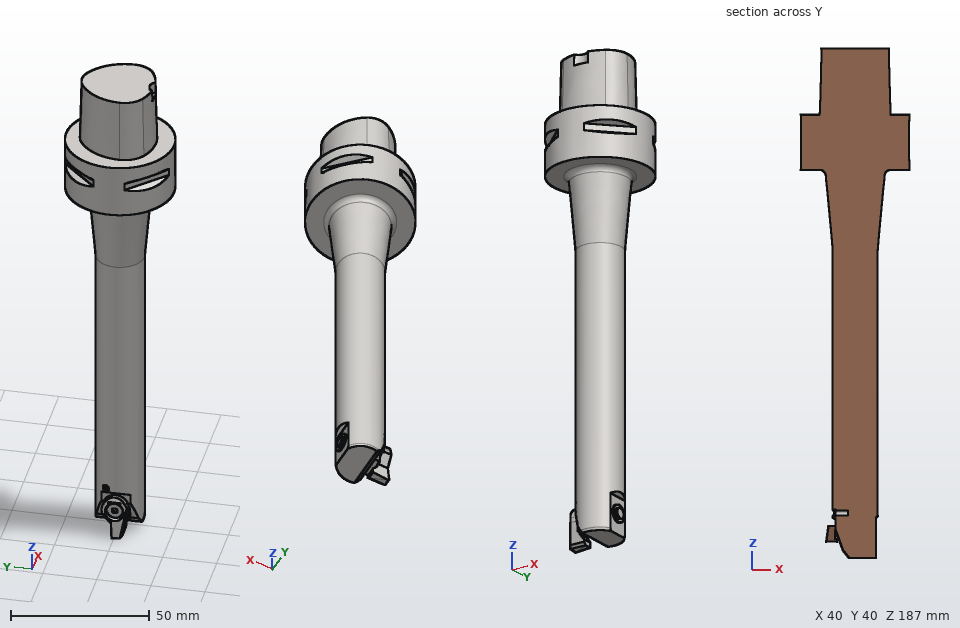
import cadquery as cq
import math


FLANGE_DIAMETER = 40.0
FLANGE_HEIGHT = 20.0
SHANK_LENGTH = 24.0
SHANK_WIDTH = 28.0
LOBE_COUNT = 3
LOBE_PITCH = 360 / LOBE_COUNT
LOBE_START = 90
LOBE_CENTER_RADIUS = 5.5
SHANK_TAPER = 1 / 40
KEY_SLOT_RADIUS = 3.5
KEY_SLOT_DEPTH = 4.3
KEY_SLOT_BACK = 10.8

GRIP_COUNT = 4
GRIP_START = 45
GRIP_CENTER_Z = -8.0
GRIP_FLOOR_DISTANCE = 17.5
GRIP_FLOOR_HEIGHT = 2.6
GRIP_MOUTH_HEIGHT = 5.2

BAR_DIAMETER = 18.0
BAR_BOTTOM_Z = -160.3
CONE_TOP_DIAMETER = 22.6
CONE_TOP_Z = -22.5
CONE_BOTTOM_Z = -49.0
CONE_FILLET_WIDTH = 1.9
END_CHAMFER = 1.1
END_CHAMFER_WIDTH = 0.28

SEAT_X = -7.2
SEAT_TOP_Z = -146.2
LEDGE_RISE = 1.1
RELIEF_START_Z = -150.0
RELIEF_BEND_X = -4.5
RELIEF_BEND_Z = -157.5
RELIEF_END_X = -2.2
SUPPORT_X = -6.5
SUPPORT_Y_MIN = -4.9
SUPPORT_Y_MAX = 2.8
BACK_FLAT_X = 7.57
BACK_FLAT_TOP_Z = -145.7
BOSS_DIAMETER = 6.7
BOSS_HEIGHT = 0.5
COOLANT_DIAMETER = 2.5
COOLANT_CORE_DIAMETER = 1.55
COOLANT_MOUTH_DEPTH = 1.1
COOLANT_DEPTH = 5.6
COOLANT_Y = 3.5
COOLANT_Z = -144.0

SCREW_Z = -152.2
SCREW_DIAMETER = 4.1
SCREW_END_X = 8.8
HEAD_DIAMETER = 6.0
HEAD_FACE_X = -9.5
HEAD_THICKNESS = 1.5
SOCKET_DIAMETER = 2.0
SOCKET_DEPTH = 1.1

INSERT_DIAMETER = 9.4
INSERT_CENTER_Z = -151.7
INSERT_TOP_FACE_X = -9.0
FACE_TOP_X = -9.7
FACE_TOP_Z = -148.7
LEG_TOP_Z = -153.3
LEG_NECK_Z = -156.9
LEG_BOTTOM_Z = -161.4
LEG_LEFT_Y = 1.1
LEG_RIGHT_Y = -3.2
LEG_BEVEL = 0.65
FOOT_TOP_Z = -158.0
FOOT_INNER_Z = -160.5
EDGE_Z = -162.5
EDGE_LEFT_Y = 0.7
EDGE_RIGHT_Y = -2.2
EDGE_OUTER_X = -11.6
EDGE_INNER_X = -4.9
TIP_X = -11.2
TIP_Z = -163.0
RECESS_SLOPE = 0.6
RIDGE_X = -10.3
RIDGE_WIDTH = 4.5
RIDGE_HEIGHT = 0.4


def three_lobed_outline(inset, z):
    """Constant-width outline of three lobes and three flatter arcs, shrunk by `inset`."""
    side = LOBE_CENTER_RADIUS * math.sqrt(3)
    lobe_radius = (SHANK_WIDTH - side) / 2 - inset
    flat_radius = lobe_radius + side

    def arc_point(lobe, radius, angle):
        lobe_angle = math.radians(LOBE_START + LOBE_PITCH * lobe)
        direction = math.radians(angle)
        return (
            LOBE_CENTER_RADIUS * math.cos(lobe_angle) + radius * math.cos(direction),
            LOBE_CENTER_RADIUS * math.sin(lobe_angle) + radius * math.sin(direction),
        )

    outline = cq.Workplane("XY", origin=(0, 0, z)).moveTo(
        *arc_point(0, lobe_radius, LOBE_START - LOBE_PITCH / 4)
    )
    for lobe in range(LOBE_COUNT):
        middle = LOBE_START + LOBE_PITCH * lobe
        outline = outline.threePointArc(
            arc_point(lobe, lobe_radius, middle), arc_point(lobe, lobe_radius, middle + LOBE_PITCH / 4)
        )
        opposite = lobe + 2
        outline = outline.threePointArc(
            arc_point(opposite, flat_radius, middle + LOBE_PITCH / 2),
            arc_point(opposite, flat_radius, middle + LOBE_PITCH * 3 / 4),
        )
    return outline.close().wires().val()


def make_shank():
    base = three_lobed_outline(0, 0)
    top = three_lobed_outline(SHANK_LENGTH * SHANK_TAPER, SHANK_LENGTH)
    shank = cq.Workplane(cq.Solid.makeLoft([base, top], True))
    slot = (
        cq.Workplane("XY", origin=(0, -KEY_SLOT_BACK - KEY_SLOT_RADIUS, SHANK_LENGTH - KEY_SLOT_DEPTH))
        .circle(KEY_SLOT_RADIUS)
        .extrude(KEY_SLOT_DEPTH)
    )
    return shank.cut(slot)


def make_grip_notch(angle):
    rim = FLANGE_DIAMETER / 2
    notch = (
        cq.Workplane("XZ", origin=(0, 0, GRIP_CENTER_Z))
        .polyline([
            (GRIP_FLOOR_DISTANCE, -GRIP_FLOOR_HEIGHT / 2),
            (rim, -GRIP_MOUTH_HEIGHT / 2),
            (rim, GRIP_MOUTH_HEIGHT / 2),
            (GRIP_FLOOR_DISTANCE, GRIP_FLOOR_HEIGHT / 2),
        ])
        .close()
        .extrude(rim, both=True)
    )
    return notch.rotate((0, 0, 0), (0, 0, 1), angle)


def make_turned_body():
    bar_radius = BAR_DIAMETER / 2
    cone_radius = CONE_TOP_DIAMETER / 2
    fillet_height = -FLANGE_HEIGHT - CONE_TOP_Z
    bulge = 1 - math.sqrt(0.5)
    return (
        cq.Workplane("XZ")
        .moveTo(0, 0)
        .lineTo(FLANGE_DIAMETER / 2, 0)
        .lineTo(FLANGE_DIAMETER / 2, -FLANGE_HEIGHT)
        .lineTo(cone_radius + CONE_FILLET_WIDTH, -FLANGE_HEIGHT)
        .threePointArc(
            (cone_radius + bulge * CONE_FILLET_WIDTH, -FLANGE_HEIGHT - bulge * fillet_height),
            (cone_radius, CONE_TOP_Z),
        )
        .lineTo(bar_radius, CONE_BOTTOM_Z)
        .lineTo(bar_radius, BAR_BOTTOM_Z + END_CHAMFER)
        .lineTo(bar_radius - END_CHAMFER_WIDTH, BAR_BOTTOM_Z)
        .lineTo(0, BAR_BOTTOM_Z)
        .close()
        .revolve(360, (0, 0, 0), (0, 1, 0))
    )


def make_insert_side_cut():
    """Seat plane with its sloping ledge above and two relief planes below."""
    outside = -BAR_DIAMETER
    bar_side = -BAR_DIAMETER / 2
    cut = (
        cq.Workplane("XZ")
        .polyline([
            (outside, SEAT_TOP_Z + LEDGE_RISE),
            (bar_side, SEAT_TOP_Z + LEDGE_RISE),
            (SEAT_X, SEAT_TOP_Z),
            (SEAT_X, RELIEF_START_Z),
            (RELIEF_BEND_X, RELIEF_BEND_Z),
            (RELIEF_END_X, BAR_BOTTOM_Z),
            (outside, BAR_BOTTOM_Z),
        ])
        .close()
        .extrude(BAR_DIAMETER, both=True)
    )
    support = cq.Workplane("XY").box(
        RELIEF_BEND_X - SUPPORT_X,
        SUPPORT_Y_MAX - SUPPORT_Y_MIN,
        RELIEF_START_Z - RELIEF_BEND_Z,
        centered=False,
    ).translate((SUPPORT_X, SUPPORT_Y_MIN, RELIEF_BEND_Z))
    return cut.cut(support)


def make_back_cut():
    bar_side = BAR_DIAMETER / 2
    return (
        cq.Workplane("XZ")
        .polyline([
            (BACK_FLAT_X, BAR_BOTTOM_Z),
            (BACK_FLAT_X, BACK_FLAT_TOP_Z),
            (bar_side, BACK_FLAT_TOP_Z + bar_side - BACK_FLAT_X),
            (bar_side, BAR_BOTTOM_Z),
        ])
        .close()
        .extrude(BAR_DIAMETER, both=True)
    )


def x_cylinder(diameter, x_start, x_end, y=0.0, z=SCREW_Z):
    return cq.Workplane("YZ", origin=(x_start, y, z)).circle(diameter / 2).extrude(x_end - x_start)


def make_coolant_outlet():
    surface_x = -math.sqrt((BAR_DIAMETER / 2) ** 2 - COOLANT_Y**2)
    outside_x = -BAR_DIAMETER / 2
    mouth = x_cylinder(COOLANT_DIAMETER, outside_x, surface_x + COOLANT_MOUTH_DEPTH, COOLANT_Y, COOLANT_Z)
    core = x_cylinder(COOLANT_CORE_DIAMETER, outside_x, surface_x + COOLANT_DEPTH, COOLANT_Y, COOLANT_Z)
    return mouth.union(core)


def make_screw_envelope():
    head = x_cylinder(HEAD_DIAMETER, HEAD_FACE_X, HEAD_FACE_X + HEAD_THICKNESS)
    return head.union(x_cylinder(SCREW_DIAMETER, HEAD_FACE_X, SCREW_END_X))


def make_screw():
    return make_screw_envelope().cut(x_cylinder(SOCKET_DIAMETER, HEAD_FACE_X, HEAD_FACE_X + SOCKET_DEPTH))


def make_screw_clearance():
    """Screw hole that flares from the head's rim toward the front face of the insert."""
    flare_depth = HEAD_FACE_X - EDGE_OUTER_X
    flare = cq.Solid.makeCone(
        HEAD_DIAMETER / 2,
        HEAD_DIAMETER / 2 + flare_depth * RECESS_SLOPE,
        flare_depth,
        pnt=cq.Vector(HEAD_FACE_X, 0, SCREW_Z),
        dir=cq.Vector(-1, 0, 0),
    )
    return make_screw_envelope().union(cq.Workplane(flare))


def make_holder():
    holder = make_turned_body().union(make_shank())
    for index in range(GRIP_COUNT):
        holder = holder.cut(make_grip_notch(GRIP_START + index * 360 / GRIP_COUNT))
    holder = holder.cut(make_insert_side_cut()).cut(make_back_cut())
    holder = holder.union(x_cylinder(BOSS_DIAMETER, BACK_FLAT_X, BACK_FLAT_X + BOSS_HEIGHT))
    return holder.cut(make_coolant_outlet()).cut(make_screw_envelope())


def make_insert():
    radius = INSERT_DIAMETER / 2
    top_z = INSERT_CENTER_Z + radius
    side_profile = (
        cq.Workplane("XZ")
        .polyline([
            (SEAT_X, top_z),
            (INSERT_TOP_FACE_X, top_z),
            (FACE_TOP_X, FACE_TOP_Z),
            (EDGE_OUTER_X, EDGE_Z),
            (TIP_X, TIP_Z),
            (EDGE_INNER_X, EDGE_Z),
            (EDGE_INNER_X, FOOT_INNER_Z),
            (SUPPORT_X, FOOT_TOP_Z),
            (SUPPORT_X, LEG_TOP_Z),
            (SEAT_X, LEG_TOP_Z),
        ])
        .close()
        .extrude(INSERT_DIAMETER, both=True)
    )
    front_profile = (
        cq.Workplane("YZ", origin=(-FLANGE_DIAMETER / 2, 0, 0))
        .moveTo(-radius, INSERT_CENTER_Z)
        .threePointArc((0, top_z), (radius, INSERT_CENTER_Z))
        .lineTo(radius, LEG_TOP_Z)
        .lineTo(LEG_LEFT_Y, LEG_NECK_Z)
        .lineTo(EDGE_LEFT_Y, TIP_Z)
        .lineTo(EDGE_RIGHT_Y, EDGE_Z)
        .lineTo(LEG_RIGHT_Y, LEG_BOTTOM_Z)
        .lineTo(-radius, LEG_TOP_Z)
        .close()
        .extrude(FLANGE_DIAMETER / 2)
    )
    blank = side_profile.intersect(front_profile)
    leg_edge = cq.selectors.BoxSelector(
        (EDGE_OUTER_X, -radius, LEG_BOTTOM_Z), (FACE_TOP_X, LEG_RIGHT_Y, LEG_TOP_Z)
    )
    blank = blank.edges(leg_edge).chamfer(LEG_BEVEL)
    ridge = cq.Workplane("XY").box(
        FACE_TOP_X - RIDGE_X + RIDGE_HEIGHT, RIDGE_WIDTH, RIDGE_HEIGHT, centered=(False, True, False)
    ).translate((RIDGE_X, 0, FACE_TOP_Z - RIDGE_HEIGHT))
    return blank.union(ridge).cut(make_screw_clearance())


holder = make_holder().solids()
insert = make_insert().solids()
screw = make_screw().solids()

result = cq.Compound.makeCompound([holder.val(), insert.val(), screw.val()])